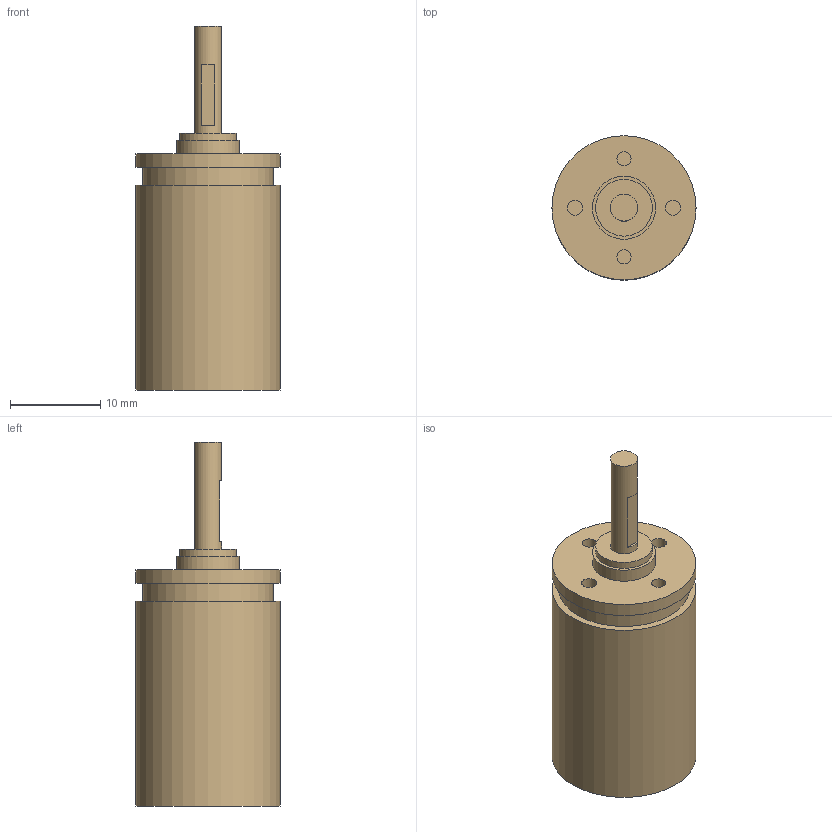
import cadquery as cq

BODY_DIAMETER = 16.0
BODY_HEIGHT = 22.7
NECK_DIAMETER = 14.5
NECK_HEIGHT = 2.0
FLANGE_DIAMETER = BODY_DIAMETER
FLANGE_HEIGHT = 1.5
BOSS_DIAMETER = 7.0
BOSS_HEIGHT = 1.5
COLLAR_DIAMETER = 6.3
COLLAR_HEIGHT = 0.8
SHAFT_DIAMETER = 3.0
SHAFT_LENGTH = 11.9

FLAT_OFFSET = 1.3
FLAT_LENGTH = 6.75
FLAT_START = 0.85

HOLE_RADIUS_FROM_AXIS = 5.45
X_HOLE_DIAMETER = 1.69
Y_HOLE_DIAMETER = 1.57
HOLE_DEPTH = FLANGE_HEIGHT

FLANGE_TOP = BODY_HEIGHT + NECK_HEIGHT + FLANGE_HEIGHT
COLLAR_TOP = FLANGE_TOP + BOSS_HEIGHT + COLLAR_HEIGHT


def make_stack():
    """Stack the cylinders on one another and fuse them."""
    sections = [
        (BODY_DIAMETER, BODY_HEIGHT),
        (NECK_DIAMETER, NECK_HEIGHT),
        (FLANGE_DIAMETER, FLANGE_HEIGHT),
        (BOSS_DIAMETER, BOSS_HEIGHT),
        (COLLAR_DIAMETER, COLLAR_HEIGHT),
        (SHAFT_DIAMETER, SHAFT_LENGTH),
    ]
    stack = cq.Workplane("XY")
    base = 0.0
    for diameter, height in sections:
        cylinder = cq.Workplane("XY").workplane(offset=base).circle(diameter / 2).extrude(height)
        stack = stack.union(cylinder)
        base += height
    return stack


def cut_shaft_flat(part):
    """Remove the segment of the shaft beyond the flat on its -Y side."""
    cutter = (
        cq.Workplane("XY")
        .box(SHAFT_DIAMETER, SHAFT_DIAMETER, FLAT_LENGTH, centered=(True, False, False))
        .translate((0, -FLAT_OFFSET - SHAFT_DIAMETER, COLLAR_TOP + FLAT_START))
    )
    return part.cut(cutter)


def cut_hole_pair(part, diameter, x, y):
    """Drill two blind holes opposite each other in the flange face."""
    drills = (
        cq.Workplane("XY")
        .workplane(offset=FLANGE_TOP)
        .pushPoints([(x, y), (-x, -y)])
        .circle(diameter / 2)
        .extrude(-HOLE_DEPTH)
    )
    return part.cut(drills)


result = make_stack()
result = cut_shaft_flat(result)
result = cut_hole_pair(result, X_HOLE_DIAMETER, HOLE_RADIUS_FROM_AXIS, 0)
result = cut_hole_pair(result, Y_HOLE_DIAMETER, 0, HOLE_RADIUS_FROM_AXIS)